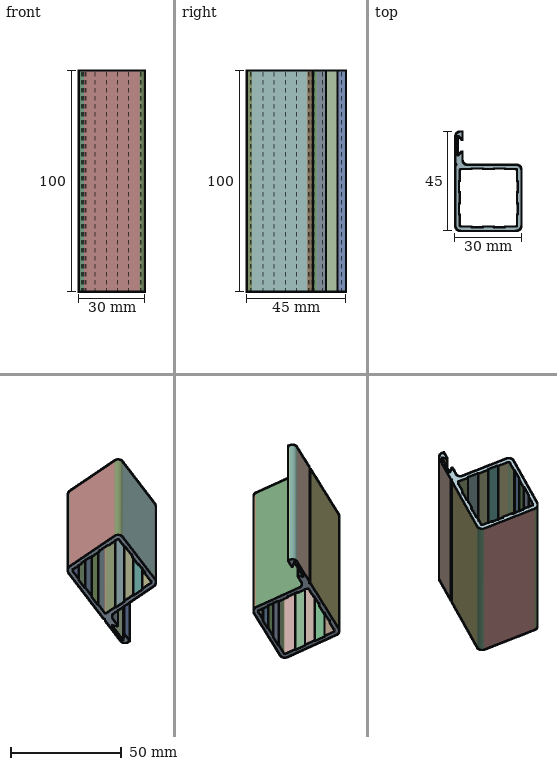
import cadquery as cq

length = 100.0
tube_side = 30.0
wall = 2.1
bore_fillet = 0.5
corner_radius = 2.5

groove_width = 5.0
groove_spacing = 10.0
groove_depth = 0.3

total_depth = 45.0
flange_thickness = 3.4
flange_web = 1.2
root_fillet = 2.0

slot_top_depth = 2.2
hook_tip_depth = 4.0
lip_top_depth = 9.1
slot_bottom_depth = 10.7
slot_floor_flat = 0.3
hook_tip_flat = 0.3
lip_flat = 0.5

mark_half_width = 0.5
mark_depth = 0.5


def block(width, depth):
    """Full-length rectangular bar with one corner at the origin."""
    return cq.Workplane("XY").rect(width, depth, centered=False).extrude(length)


def make_outer_body():
    """Solid tube outline joined to the solid flange, with rounded corners and a filleted root."""
    tube = block(tube_side, tube_side)
    tube = tube.edges("|Z").edges("<Y or >X").fillet(corner_radius)
    flange = block(flange_thickness, total_depth)
    flange = flange.edges("|Z and <X and >Y").fillet(corner_radius)
    flange = flange.cut(block(corner_radius, corner_radius))
    body = tube.union(flange)
    root = cq.selectors.BoxSelector(
        (flange_thickness - root_fillet / 2, tube_side - root_fillet / 2, 0),
        (flange_thickness + root_fillet / 2, tube_side + root_fillet / 2, length),
    )
    return body.edges("|Z").edges(root).fillet(root_fillet)


def make_cavity():
    """Square bore plus two wall grooves on each of its four sides."""
    center = tube_side / 2
    bore_side = tube_side - 2 * wall
    grooved_side = bore_side + 2 * groove_depth
    plane = cq.Workplane("XY").center(center, center)
    cavity = plane.rect(bore_side, bore_side).extrude(length).edges("|Z").fillet(bore_fillet)
    for offset in (-groove_spacing / 2, groove_spacing / 2):
        across_x = plane.center(0, offset).rect(grooved_side, groove_width).extrude(length)
        across_y = plane.center(offset, 0).rect(groove_width, grooved_side).extrude(length)
        cavity = cavity.union(across_x).union(across_y)
    return cavity


def make_clip_slot():
    """Undercut slot opening towards +X, between the hook and the lower lip."""
    slot_outline = [
        (flange_web, total_depth - slot_bottom_depth),
        (flange_web + slot_floor_flat, total_depth - slot_bottom_depth),
        (flange_thickness - lip_flat, total_depth - lip_top_depth),
        (flange_thickness, total_depth - lip_top_depth),
        (flange_thickness, total_depth - hook_tip_depth),
        (flange_thickness - hook_tip_flat, total_depth - hook_tip_depth),
        (flange_web + slot_floor_flat, total_depth - slot_top_depth),
        (flange_web, total_depth - slot_top_depth),
    ]
    return cq.Workplane("XY").polyline(slot_outline).close().extrude(length)


def make_marking_line():
    """V notch running the full length of the -X face."""
    notch_outline = [
        (0, tube_side - mark_half_width),
        (mark_depth, tube_side),
        (0, tube_side + mark_half_width),
    ]
    return cq.Workplane("XY").polyline(notch_outline).close().extrude(length)


result = make_outer_body().cut(make_cavity()).cut(make_clip_slot()).cut(make_marking_line())